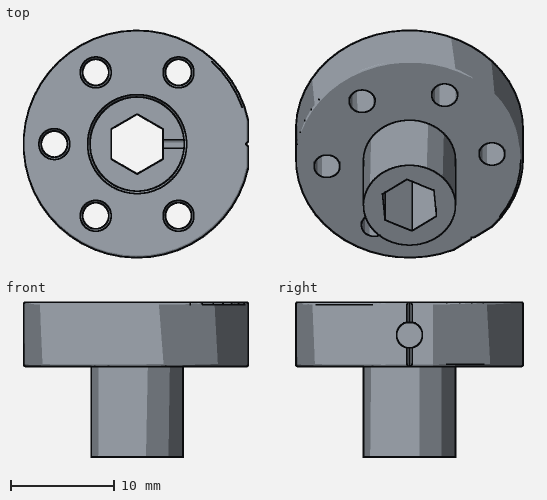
import cadquery as cq
import math

flange_diameter = 22.0
flange_thickness = 6.25
hub_diameter = 8.9
total_height = 15.0
edge_break = 0.25

flat_distance = 10.75
groove_depth = 0.25
groove_width = 2 * groove_depth

recess_diameter = 9.1
recess_depth = 2.0
hex_across_flats = 5.0
hex_sides = 6

bolt_circle_radius = 8.0
bolt_hole_diameter = 2.5
bolt_places = 6

screw_hole_diameter = 2.5
screw_hole_depth = 3.2


def chamfered_hole(diameter, depth, chamfer):
    """Cutter for a hole in the flange top with a 45 degree entry chamfer."""
    radius = diameter / 2
    return (
        cq.Workplane("XZ")
        .moveTo(0, 0)
        .lineTo(radius + chamfer, 0)
        .lineTo(radius, -chamfer)
        .lineTo(radius, -depth)
        .lineTo(0, -depth)
        .close()
        .revolve(360, (0, 0, 0), (0, 1, 0))
    )


def make_flange():
    """Disc with a flat, rounded on both rims."""
    disc = cq.Workplane("XY").circle(flange_diameter / 2).extrude(-flange_thickness)
    beyond_flat = (
        cq.Workplane("XY")
        .box(flange_diameter, flange_diameter, 2 * flange_thickness)
        .translate((flat_distance + flange_diameter / 2, 0, -flange_thickness))
    )
    return disc.cut(beyond_flat).faces("<Z or >Z").edges().fillet(edge_break)


def make_index_groove():
    """Vertical V groove in the flat."""
    return (
        cq.Workplane("XY")
        .moveTo(flat_distance, -groove_width / 2)
        .lineTo(flat_distance - groove_depth, 0)
        .lineTo(flat_distance, groove_width / 2)
        .close()
        .extrude(-flange_thickness)
    )


def make_screw_hole():
    """Hole along +X from the axis to the flat, below the flange top."""
    return (
        cq.Workplane("YZ")
        .center(0, -screw_hole_depth)
        .circle(screw_hole_diameter / 2)
        .extrude(flat_distance)
    )


def make_hex_bore():
    """Through hexagon with two flats facing along X."""
    across_corners = hex_across_flats / math.cos(math.pi / hex_sides)
    return (
        cq.Workplane("XY")
        .transformed(rotate=(0, 0, 90))
        .polygon(hex_sides, across_corners)
        .extrude(-total_height)
    )


hub = cq.Workplane("XY").circle(hub_diameter / 2).extrude(-total_height)
result = make_flange().union(hub)
result = result.cut(make_index_groove())
result = result.cut(chamfered_hole(recess_diameter, recess_depth, edge_break))
result = result.cut(make_hex_bore())
result = result.cut(make_screw_hole())

bolt_cutter = chamfered_hole(bolt_hole_diameter, flange_thickness, edge_break)
for place in range(1, bolt_places):
    angle = place * 360 / bolt_places
    bolt_hole = bolt_cutter.translate((bolt_circle_radius, 0, 0)).rotate((0, 0, 0), (0, 0, 1), angle)
    result = result.cut(bolt_hole)